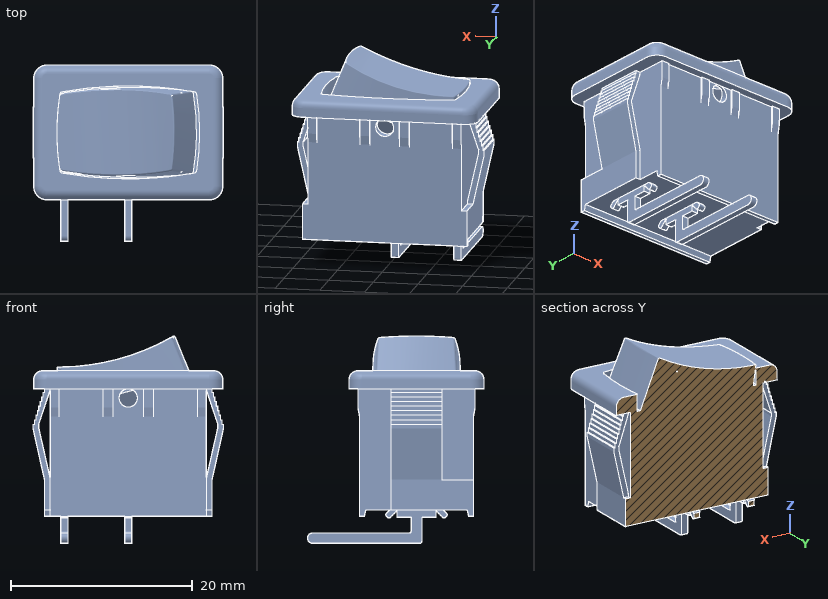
import cadquery as cq
import math


BEZEL_LENGTH = 20.8
BEZEL_WIDTH = 14.85
BEZEL_HEIGHT = 2.0
BEZEL_CORNER_RADIUS = 1.48
BEZEL_EDGE_RADIUS = 1.0

OPENING_HALF_LENGTH = 7.85
OPENING_HALF_WIDTH = 5.1
OPENING_END_BULGE = 0.36
OPENING_SIDE_BULGE = 0.68
OPENING_CORNER_RADIUS = 0.35

ROCKER_TILT = 15
ROCKER_END_DRAFT = 7
ROCKER_SIDE_DRAFT = 3
ROCKER_HALF_LENGTH = 6.73
ROCKER_HALF_WIDTH = 4.72
ROCKER_END_BULGE = 0.36
ROCKER_SIDE_BULGE = 0.5
ROCKER_TIP_HEIGHT = 5.34
ROCKER_DEPTH = 6.73
ROCKER_HOLLOW = 0.91
ROCKER_CORNER_RADIUS = 0.27
ROCKER_EDGE_RADIUS = 0.15
PIVOT_Z = -1.0
PIVOT_HOLE_DIAMETER = 2.0
PIVOT_END_RECESS = 0.35
PIVOT_FLAT_HEIGHT = 0.68
PIVOT_END_SLOPE = 30

BODY_LENGTH = 17.2
BODY_WIDTH = 12.55
BODY_BOTTOM_Z = -14.02
BASE_Z = -13.32
LEG_WIDTH = 0.55
LEG_TOP_WIDTH = 0.7
RIB_HEIGHT = 0.18
RIB_STRAIGHT_Z = -2.05
RIB_END_Z = -3.05
END_RIB_WIDTH = 1.0
MIDDLE_RIB_WIDTH = 1.1
MIDDLE_RIB_X = 2.21

CLIP_THICKNESS = 0.62
CLIP_HALF_WIDTH = 2.8
CLIP_PEAK_X = 10.47
CLIP_PEAK_INNER_X = 9.83
CLIP_INNER_TOP_Z = -0.23
CLIP_INNER_PEAK_TOP_Z = -3.88
CLIP_INNER_PEAK_BOTTOM_Z = -4.26
CLIP_INNER_BOTTOM_Z = -9.7
CLIP_PLATE_TOP_Z = -10.0
STEP_COUNT = 8
STEP_HEIGHT = 0.5
FIRST_STEP_Z = -0.39

TERMINAL_XS = (-7.02, 0)
TERMINAL_THICKNESS = 0.82
TERMINAL_HALF_WIDTH = 2.17
TERMINAL_SHOULDER_Z = -14.11
PIN_WIDTH = 1.2
PIN_BOTTOM_Z = -16.99
PIN_TOP_Z = -15.82
OVERALL_WIDTH = 19.4
PIN_TIP_Y = BEZEL_WIDTH / 2 - OVERALL_WIDTH
PIN_OUTER_BEND_RADIUS = 0.25
PIN_INNER_BEND_RADIUS = 0.15
PRONG_WIDTH = 0.64
PRONG_REACH = 1.05
PRONG_ROOT_EMBED = 0.68
PRONG_TIP_RADIUS = 0.23
PRONG_SPLAY = 45
PRONG_Y = 2.5

HALF_BODY_LENGTH = BODY_LENGTH / 2
HALF_BODY_WIDTH = BODY_WIDTH / 2


def barrel(half_length, half_width, end_bulge, side_bulge, z):
    """Rectangle whose four sides bow outward, drawn at height z."""
    corner_x = half_length - end_bulge
    corner_y = half_width - side_bulge
    return (
        cq.Workplane("XY", origin=(0, 0, z))
        .moveTo(-corner_x, -corner_y)
        .threePointArc((0, -half_width), (corner_x, -corner_y))
        .threePointArc((half_length, 0), (corner_x, corner_y))
        .threePointArc((0, half_width), (-corner_x, corner_y))
        .threePointArc((-half_length, 0), (-corner_x, -corner_y))
        .close()
    )


def block(x_range, y_range, z_range):
    """Box given by its limits along each axis."""
    sizes = [high - low for low, high in (x_range, y_range, z_range)]
    corner = (x_range[0], y_range[0], z_range[0])
    return cq.Workplane("XY").box(*sizes, centered=False).translate(corner)


def tilt_with_rocker(shape):
    """Move a shape from the rocker's frame to its tilted place on the pivot."""
    return shape.rotate((0, 0, 0), (0, 1, 0), -ROCKER_TILT).translate((0, 0, PIVOT_Z))


def make_bezel():
    return (
        cq.Workplane("XY")
        .rect(BEZEL_LENGTH, BEZEL_WIDTH)
        .extrude(BEZEL_HEIGHT)
        .edges("|Z").fillet(BEZEL_CORNER_RADIUS)
        .faces(">Z").edges().fillet(BEZEL_EDGE_RADIUS)
    )


def make_opening():
    return (
        barrel(OPENING_HALF_LENGTH, OPENING_HALF_WIDTH, OPENING_END_BULGE, OPENING_SIDE_BULGE, 0)
        .extrude(BEZEL_HEIGHT)
        .edges("|Z").fillet(OPENING_CORNER_RADIUS)
    )


def make_rocker():
    bottom_half_length = ROCKER_HALF_LENGTH + ROCKER_DEPTH * math.tan(math.radians(ROCKER_END_DRAFT))
    bottom_half_width = ROCKER_HALF_WIDTH + ROCKER_DEPTH * math.tan(math.radians(ROCKER_SIDE_DRAFT))
    bottom_z = ROCKER_TIP_HEIGHT - ROCKER_DEPTH
    bottom = barrel(bottom_half_length, bottom_half_width, ROCKER_END_BULGE, ROCKER_SIDE_BULGE, bottom_z)
    top = barrel(
        ROCKER_HALF_LENGTH, ROCKER_HALF_WIDTH, ROCKER_END_BULGE, ROCKER_SIDE_BULGE, ROCKER_TIP_HEIGHT
    )
    drafted_block = cq.Solid.makeLoft([bottom.wire().val(), top.wire().val()], True)
    rocker = cq.Workplane(drafted_block).edges("not #Z").fillet(ROCKER_CORNER_RADIUS)
    scoop_radius = (ROCKER_HALF_LENGTH ** 2 + ROCKER_HOLLOW ** 2) / (2 * ROCKER_HOLLOW)
    scoop_z = ROCKER_TIP_HEIGHT - ROCKER_HOLLOW + scoop_radius
    scoop = (
        cq.Workplane("XZ", origin=(0, 0, scoop_z))
        .circle(scoop_radius)
        .extrude(HALF_BODY_WIDTH, both=True)
    )
    rocker = rocker.cut(scoop)
    top_centre = (0, 0, ROCKER_TIP_HEIGHT - ROCKER_HOLLOW)
    top_edges = rocker.faces(cq.selectors.NearestToPointSelector(top_centre)).edges()
    rocker = top_edges.fillet(ROCKER_EDGE_RADIUS)
    return tilt_with_rocker(rocker)


def make_body():
    body = block(
        (-HALF_BODY_LENGTH, HALF_BODY_LENGTH),
        (-HALF_BODY_WIDTH, HALF_BODY_WIDTH),
        (BODY_BOTTOM_Z, 0),
    )
    end_rib_x = (BODY_LENGTH - END_RIB_WIDTH) / 2
    ribs = (
        (-end_rib_x, END_RIB_WIDTH),
        (-MIDDLE_RIB_X, MIDDLE_RIB_WIDTH),
        (MIDDLE_RIB_X, MIDDLE_RIB_WIDTH),
        (end_rib_x, END_RIB_WIDTH),
    )
    rib_y = HALF_BODY_WIDTH + RIB_HEIGHT
    rib_outline = [
        (-rib_y, 0),
        (-rib_y, RIB_STRAIGHT_Z),
        (-HALF_BODY_WIDTH, RIB_END_Z),
        (HALF_BODY_WIDTH, RIB_END_Z),
        (rib_y, RIB_STRAIGHT_Z),
        (rib_y, 0),
    ]
    for x, width in ribs:
        rib = cq.Workplane("YZ", origin=(x, 0, 0)).polyline(rib_outline).close().extrude(width / 2, both=True)
        body = body.union(rib)
    return body


def make_pivot_holes():
    """Recesses in both long walls, each ending in a tilted flat with a ramp sloping inward below it."""
    hole_radius = PIVOT_HOLE_DIAMETER / 2
    flat_y = HALF_BODY_WIDTH - PIVOT_END_RECESS
    ramp_y = flat_y - (PIVOT_FLAT_HEIGHT + hole_radius) * math.tan(math.radians(PIVOT_END_SLOPE))
    pins = (
        cq.Workplane("YZ")
        .polyline([
            (-flat_y, hole_radius),
            (-flat_y, PIVOT_FLAT_HEIGHT),
            (-ramp_y, -hole_radius),
            (ramp_y, -hole_radius),
            (flat_y, PIVOT_FLAT_HEIGHT),
            (flat_y, hole_radius),
        ])
        .close()
        .extrude(hole_radius, both=True)
    )
    holes = cq.Workplane("XZ").circle(hole_radius).extrude(HALF_BODY_WIDTH, both=True)
    return tilt_with_rocker(holes.cut(pins))


def make_clip():
    """Stepped spring wing and its base plate on the +X end."""
    outer_x = HALF_BODY_LENGTH + CLIP_THICKNESS
    step_depth = (CLIP_PEAK_X - outer_x) / STEP_COUNT
    outline = [(HALF_BODY_LENGTH, 0), (outer_x, 0)]
    for step in range(STEP_COUNT):
        step_z = FIRST_STEP_Z - step * STEP_HEIGHT
        outline.append((outer_x + step * step_depth, step_z))
        outline.append((outer_x + (step + 1) * step_depth, step_z))
    outline += [
        (CLIP_PEAK_X, FIRST_STEP_Z - STEP_COUNT * STEP_HEIGHT),
        (outer_x, CLIP_PLATE_TOP_Z),
        (HALF_BODY_LENGTH, CLIP_PLATE_TOP_Z),
        (HALF_BODY_LENGTH, CLIP_INNER_BOTTOM_Z),
        (CLIP_PEAK_INNER_X, CLIP_INNER_PEAK_BOTTOM_Z),
        (CLIP_PEAK_INNER_X, CLIP_INNER_PEAK_TOP_Z),
        (HALF_BODY_LENGTH, CLIP_INNER_TOP_Z),
    ]
    wing = cq.Workplane("XZ").polyline(outline).close().extrude(CLIP_HALF_WIDTH, both=True)
    plate = block(
        (HALF_BODY_LENGTH, outer_x),
        (-CLIP_HALF_WIDTH, HALF_BODY_WIDTH),
        (BODY_BOTTOM_Z, CLIP_PLATE_TOP_Z),
    )
    return wing.union(plate)


def make_base_channel():
    """Channel along X under the body and clips that leaves a leg on each long side."""
    leg_top_y = HALF_BODY_WIDTH - LEG_TOP_WIDTH
    leg_bottom_y = HALF_BODY_WIDTH - LEG_WIDTH
    return (
        cq.Workplane("YZ")
        .polyline([
            (-leg_bottom_y, BODY_BOTTOM_Z),
            (-leg_top_y, BASE_Z),
            (leg_top_y, BASE_Z),
            (leg_bottom_y, BODY_BOTTOM_Z),
        ])
        .close()
        .extrude(BEZEL_LENGTH / 2, both=True)
    )


def make_terminal():
    """Shouldered terminal with an L-shaped pin and two splayed prongs, centred on X = 0."""
    pin_round_y = PIN_TIP_Y + (PIN_TOP_Z - PIN_BOTTOM_Z) / 2
    half_pin = PIN_WIDTH / 2
    half_thickness = TERMINAL_THICKNESS / 2
    shoulder = block(
        (-half_thickness, half_thickness),
        (-TERMINAL_HALF_WIDTH, TERMINAL_HALF_WIDTH),
        (TERMINAL_SHOULDER_Z, BASE_Z),
    )
    pin = (
        cq.Workplane("YZ")
        .polyline([
            (half_pin, BASE_Z),
            (half_pin, PIN_BOTTOM_Z),
            (pin_round_y, PIN_BOTTOM_Z),
        ])
        .threePointArc((PIN_TIP_Y, (PIN_BOTTOM_Z + PIN_TOP_Z) / 2), (pin_round_y, PIN_TOP_Z))
        .lineTo(-half_pin, PIN_TOP_Z)
        .lineTo(-half_pin, BASE_Z)
        .close()
        .extrude(half_thickness, both=True)
        .edges(cq.selectors.NearestToPointSelector((0, half_pin, PIN_BOTTOM_Z))).fillet(PIN_OUTER_BEND_RADIUS)
        .edges(cq.selectors.NearestToPointSelector((0, -half_pin, PIN_TOP_Z))).fillet(PIN_INNER_BEND_RADIUS)
    )
    terminal = shoulder.union(pin)
    prong = block(
        (-half_thickness, half_thickness),
        (-PRONG_WIDTH / 2, PRONG_WIDTH / 2),
        (-PRONG_REACH, PRONG_ROOT_EMBED),
    )
    prong = prong.faces("<Z").edges("|X").fillet(PRONG_TIP_RADIUS)
    for side in (-1, 1):
        splayed = prong.rotate((0, 0, 0), (1, 0, 0), side * PRONG_SPLAY)
        terminal = terminal.union(splayed.translate((0, side * PRONG_Y, BASE_Z)))
    return terminal


clip = make_clip()
housing = make_bezel().union(make_body()).union(clip).union(clip.mirror("YZ"))
housing = housing.cut(make_opening()).cut(make_base_channel())
result = housing.union(make_rocker()).cut(make_pivot_holes())
for terminal_x in TERMINAL_XS:
    result = result.union(make_terminal().translate((terminal_x, 0, 0)))